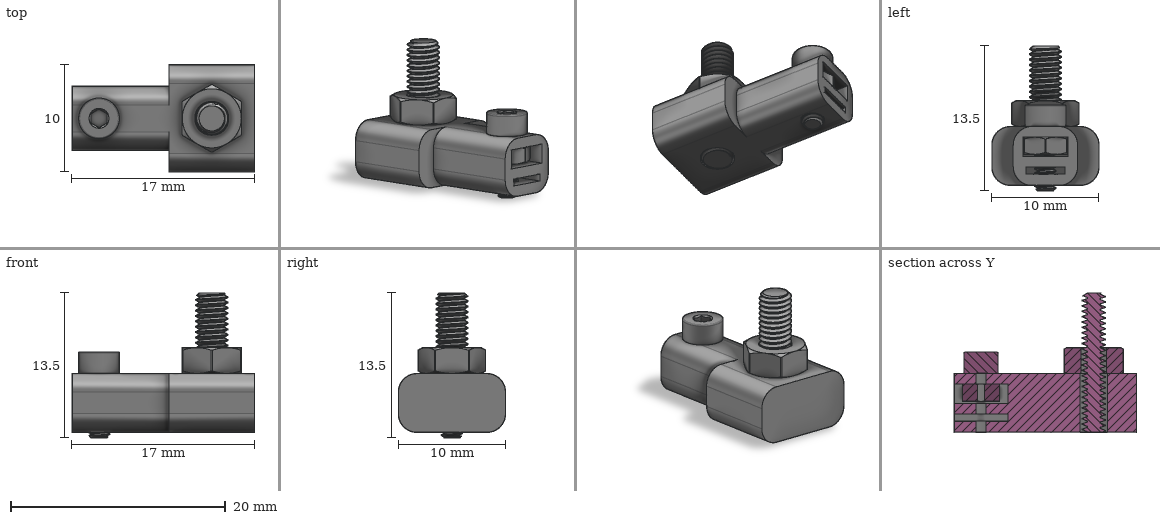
import cadquery as cq
import math

TOTAL_LENGTH = 17.0
ARM_LENGTH = 9.0
ARM_WIDTH = 6.0
BLOCK_WIDTH = 10.0
HEIGHT = 5.5
EDGE_RADIUS = 1.75

SCREW_X = 2.5
SCREW_DIAMETER = 2.0
SCREW_ROOT_DIAMETER = 1.48
SCREW_PITCH = 0.4
SCREW_LENGTH = 6.0
SCREW_CREST_Z = -0.15
SCREW_HEAD_DIAMETER = 3.8
SCREW_HEAD_HEIGHT = 2.0
SCREW_HEAD_TOP_FILLET = 0.1
SCREW_HEAD_BOTTOM_FILLET = 0.06
SOCKET_FLATS = 1.5
SOCKET_DEPTH = 1.0
SOCKET_MOUTH_DIAMETER = 1.85
SOCKET_MOUTH_ANGLE = 45.0
SMALL_NUT_FLATS = 4.0
SMALL_NUT_HEIGHT = 1.6

STUD_X = (ARM_LENGTH + TOTAL_LENGTH) / 2
STUD_DIAMETER = 3.0
STUD_ROOT_DIAMETER = 2.35
STUD_PITCH = 0.5
STUD_TOP_Z = 13.0
STUD_CREST_Z = 0.1
LARGE_NUT_FLATS = 5.5
LARGE_NUT_HEIGHT = 2.4

THREAD_FLAT = 1 / 8
RIDGE_OVERLAP = 0.1

HOLE_CLEARANCE = 0.2
NUT_BORE_CLEARANCE = 0.1
NUT_CORNER_RATIO = 0.99
NUT_CHAMFER_ANGLE = 30.0

SLOT_DEPTH = 5.0
NUT_SLOT_WIDTH = 4.2
NUT_SLOT_BOTTOM = 2.7
NUT_SLOT_TOP = 4.5
WIRE_SLOT_WIDTH = 3.6
WIRE_SLOT_BOTTOM = 1.05
WIRE_SLOT_TOP = 1.7


def rounded_bar(start_x, end_x, width):
    """Bar along X, resting on Z = 0, with its four long edges rounded."""
    bar = cq.Workplane("XY").box(end_x - start_x, width, HEIGHT, centered=(False, True, False))
    return bar.edges("|X").fillet(EDGE_RADIUS).translate((start_x, 0, 0))


def end_slot(width, bottom, top):
    """Rectangular pocket that opens at the free end of the arm."""
    slot = cq.Workplane("XY").box(SLOT_DEPTH, width, top - bottom, centered=(False, True, False))
    return slot.translate((0, 0, bottom))


def through_hole(x, diameter):
    return cq.Workplane("XY").center(x, 0).circle(diameter / 2).extrude(HEIGHT)


def make_housing():
    arm = rounded_bar(0, ARM_LENGTH, ARM_WIDTH)
    block = rounded_bar(ARM_LENGTH, TOTAL_LENGTH, BLOCK_WIDTH)
    return (
        arm.union(block)
        .cut(end_slot(NUT_SLOT_WIDTH, NUT_SLOT_BOTTOM, NUT_SLOT_TOP))
        .cut(end_slot(WIRE_SLOT_WIDTH, WIRE_SLOT_BOTTOM, WIRE_SLOT_TOP))
        .cut(through_hole(SCREW_X, SCREW_DIAMETER + HOLE_CLEARANCE))
        .cut(through_hole(STUD_X, STUD_DIAMETER + HOLE_CLEARANCE))
    )


def flat_cap(points):
    return cq.Face.makeFromWires(cq.Wire.makePolygon(points, close=True))


def thread_ridge(crest_radius, root_radius, pitch, start_z, turns):
    """Right-handed helical ridge on the Z axis whose crest crosses the +X side at start_z.

    The ridge reaches a little below the root so that it merges with the core.
    """
    crest_width = pitch * THREAD_FLAT
    root_width = pitch * (1 - THREAD_FLAT)
    inner_radius = root_radius - RIDGE_OVERLAP * (crest_radius - root_radius)
    inner_width = root_width + RIDGE_OVERLAP * (root_width - crest_width)
    length = turns * pitch

    def helix(radius, offset):
        wire = cq.Wire.makeHelix(pitch, length, radius)
        return wire.translate(cq.Vector(0, 0, start_z + offset))

    corners = [
        helix(inner_radius, -inner_width / 2),
        helix(crest_radius, -crest_width / 2),
        helix(crest_radius, crest_width / 2),
        helix(inner_radius, inner_width / 2),
    ]
    sides = [cq.Face.makeRuledSurface(a, b) for a, b in zip(corners, corners[1:] + corners[:1])]
    start_cap = flat_cap([corner.startPoint() for corner in corners])
    end_cap = flat_cap([corner.endPoint() for corner in corners])
    return cq.Solid.makeSolid(cq.Shell.makeShell(sides + [start_cap, end_cap]))


def threaded_rod(diameter, root_diameter, pitch, bottom_z, top_z, crest_z, tip_at_top):
    """Threaded rod on the Z axis, with one end tapered at 45 degrees down to the thread root."""
    crest_radius = diameter / 2
    root_radius = root_diameter / 2
    start_z = crest_z - pitch * (math.ceil((crest_z - bottom_z) / pitch) + 1)
    turns = math.ceil((top_z - start_z) / pitch) + 1
    ridge = cq.Workplane(thread_ridge(crest_radius, root_radius, pitch, start_z, turns))

    outer_radius = diameter
    tip_z, plain_z = (top_z, bottom_z) if tip_at_top else (bottom_z, top_z)
    taper_height = outer_radius - root_radius
    taper_z = tip_z - math.copysign(taper_height, tip_z - plain_z)
    envelope = (
        cq.Workplane("XZ")
        .moveTo(0, plain_z)
        .lineTo(outer_radius, plain_z)
        .lineTo(outer_radius, taper_z)
        .lineTo(root_radius, tip_z)
        .lineTo(0, tip_z)
        .close()
        .revolve(360, (0, 0, 0), (0, 1, 0))
    )

    core = cq.Workplane("XY", origin=(0, 0, bottom_z)).circle(root_radius).extrude(top_z - bottom_z)
    return core.union(ridge.intersect(envelope))


def hexagon(flats, height):
    """Hexagonal prism with two corners on the Y axis."""
    sharp_diameter = flats / math.cos(math.pi / 6)
    prism = cq.Workplane("XY").polygon(6, sharp_diameter).extrude(height)
    return prism.rotate((0, 0, 0), (0, 0, 1), 90)


def make_nut(flats, height, bore_diameter):
    """Hex nut with trimmed corners and both ends coned down to the flats."""
    corner_radius = NUT_CORNER_RATIO * flats / 2 / math.cos(math.pi / 6)
    cone_width = corner_radius - flats / 2
    cone_height = cone_width * math.tan(math.radians(NUT_CHAMFER_ANGLE))
    turned_blank = (
        cq.Workplane("XZ")
        .moveTo(0, 0)
        .lineTo(flats / 2, 0)
        .lineTo(corner_radius, cone_height)
        .lineTo(corner_radius, height - cone_height)
        .lineTo(flats / 2, height)
        .lineTo(0, height)
        .close()
        .revolve(360, (0, 0, 0), (0, 1, 0))
    )
    bore = cq.Workplane("XY").circle(bore_diameter / 2).extrude(height)
    return hexagon(flats, height).intersect(turned_blank).cut(bore)


def make_screw():
    """M2 socket head cap screw, its head seated on top of the arm."""
    head = cq.Workplane("XY").circle(SCREW_HEAD_DIAMETER / 2).extrude(SCREW_HEAD_HEIGHT)
    head = head.faces(">Z").edges().fillet(SCREW_HEAD_TOP_FILLET)
    head = head.faces("<Z").edges().fillet(SCREW_HEAD_BOTTOM_FILLET)

    socket = hexagon(SOCKET_FLATS, SOCKET_DEPTH).translate((0, 0, SCREW_HEAD_HEIGHT - SOCKET_DEPTH))
    mouth_radius = SOCKET_MOUTH_DIAMETER / 2
    mouth_depth = mouth_radius - SOCKET_FLATS / 2
    mouth = cq.Workplane("XY", origin=(0, 0, SCREW_HEAD_HEIGHT)).circle(mouth_radius)
    mouth = mouth.extrude(-mouth_depth, taper=SOCKET_MOUTH_ANGLE)
    head = head.cut(socket).cut(mouth).translate((0, 0, HEIGHT))

    shank = threaded_rod(
        SCREW_DIAMETER,
        SCREW_ROOT_DIAMETER,
        SCREW_PITCH,
        HEIGHT - SCREW_LENGTH,
        HEIGHT,
        SCREW_CREST_Z,
        tip_at_top=False,
    )
    return head.union(shank).translate((SCREW_X, 0, 0))


def make_small_nut():
    """M2 nut against the roof of its slot, flats along the slot sides and a corner facing -X."""
    nut = make_nut(SMALL_NUT_FLATS, SMALL_NUT_HEIGHT, SCREW_DIAMETER + NUT_BORE_CLEARANCE)
    nut = nut.rotate((0, 0, 0), (0, 0, 1), 90)
    return nut.translate((SCREW_X, 0, NUT_SLOT_TOP - SMALL_NUT_HEIGHT))


def make_stud():
    """M3 stud that ends flush with the bottom of the block."""
    stud = threaded_rod(
        STUD_DIAMETER,
        STUD_ROOT_DIAMETER,
        STUD_PITCH,
        0,
        STUD_TOP_Z,
        STUD_CREST_Z,
        tip_at_top=True,
    )
    return stud.translate((STUD_X, 0, 0))


def make_large_nut():
    """M3 nut seated on top of the block, with corners facing +Y and -Y."""
    nut = make_nut(LARGE_NUT_FLATS, LARGE_NUT_HEIGHT, STUD_DIAMETER + NUT_BORE_CLEARANCE)
    return nut.translate((STUD_X, 0, HEIGHT))


housing = make_housing()
screw = make_screw()
small_nut = make_small_nut()
stud = make_stud()
large_nut = make_large_nut()

result = cq.Compound.makeCompound(
    [
        housing.solids().val(),
        screw.solids().val(),
        small_nut.solids().val(),
        stud.solids().val(),
        large_nut.solids().val(),
    ]
)